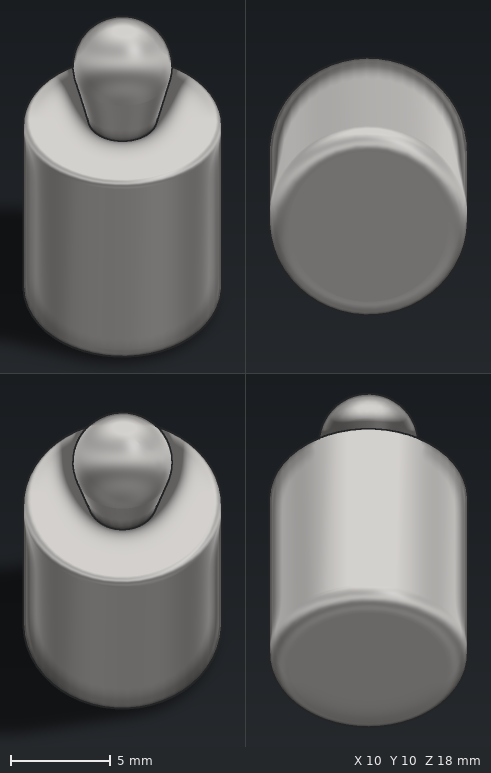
import cadquery as cq
import math

total_height = 18.0
body_diameter = 10.0
body_height = 12.0
bottom_fillet = 1.0
top_fillet = 0.4
ball_radius = body_diameter / 4
neck_base_radius = 1.75

ball_center_z = total_height - ball_radius

body = cq.Workplane("XY").circle(body_diameter / 2).extrude(body_height)
body = body.faces("<Z").edges().fillet(bottom_fillet)
body = body.faces(">Z").edges().fillet(top_fillet)

center_above_body = ball_center_z - body_height
base_to_center = math.hypot(neck_base_radius, center_above_body)
base_angle = math.atan2(-center_above_body, neck_base_radius)
tangent_angle = base_angle + math.acos(ball_radius / base_to_center)
tangent_radius = ball_radius * math.cos(tangent_angle)
tangent_z = ball_center_z + ball_radius * math.sin(tangent_angle)

neck_root_z = body_height / 2
arc_middle_angle = (tangent_angle + math.pi / 2) / 2
arc_middle = (
    ball_radius * math.cos(arc_middle_angle),
    ball_center_z + ball_radius * math.sin(arc_middle_angle),
)
pin = (
    cq.Workplane("XZ")
    .moveTo(0, neck_root_z)
    .lineTo(neck_base_radius, neck_root_z)
    .lineTo(neck_base_radius, body_height)
    .lineTo(tangent_radius, tangent_z)
    .threePointArc(arc_middle, (0, total_height))
    .close()
    .revolve(360, (0, 0, 0), (0, 1, 0))
)

result = body.union(pin)